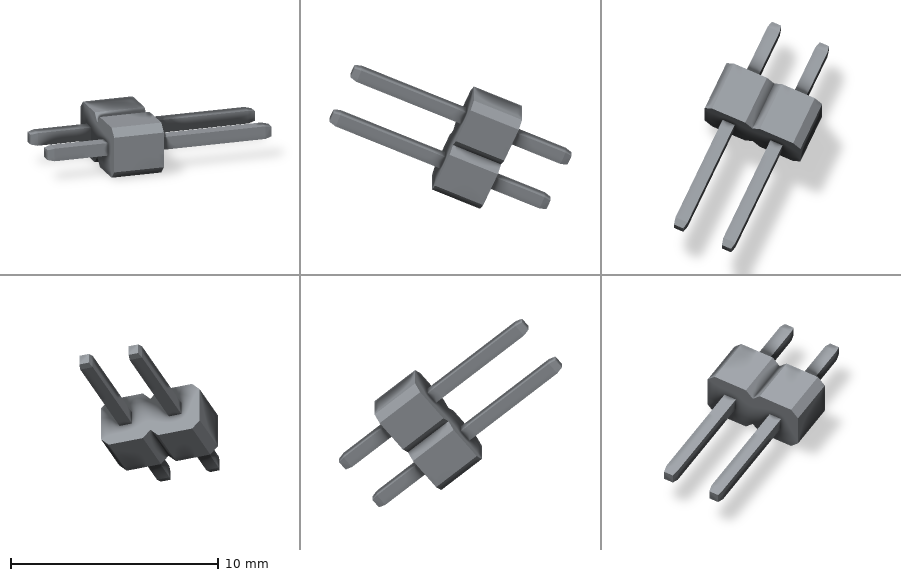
import cadquery as cq

pin_count = 2
pitch = 2.54
overall_length = 11.43
block_length = 2.54
corner_chamfer = 0.39
pin_width = 0.64
tip_width = 0.49
tip_length = 0.34
front_length = 3.05

back_length = overall_length - block_length - front_length
block_front_y = -block_length / 2
block_back_y = block_length / 2
first_pin_x = -pitch * (pin_count - 1) / 2


def make_block(center_x):
    """Insulator block of one pin: a cube with its edges along Y chamfered."""
    return (
        cq.Workplane("XY")
        .box(pitch, block_length, pitch)
        .edges("|Y")
        .chamfer(corner_chamfer)
        .translate((center_x, 0, 0))
        .solids()
    )


def make_pin(center_x, face_y, direction, length):
    """Square pin standing on a block face; direction is -1 for the front, +1 for the back."""
    face = cq.Plane(origin=(center_x, face_y, 0), xDir=(1, 0, 0), normal=(0, direction, 0))
    shank_length = length - tip_length
    shank = cq.Workplane(face).rect(pin_width, pin_width).extrude(shank_length)
    tip = (
        cq.Workplane(face)
        .workplane(offset=shank_length)
        .rect(pin_width, pin_width)
        .workplane(offset=tip_length)
        .rect(tip_width, tip_width)
        .loft(ruled=True)
    )
    return shank.union(tip).solids()


blocks = []
front_pins = []
back_pins = []
for index in range(pin_count):
    pin_x = first_pin_x + index * pitch
    blocks.append(make_block(pin_x).val())
    front_pins.append(make_pin(pin_x, block_front_y, -1, front_length).val())
    back_pins.append(make_pin(pin_x, block_back_y, 1, back_length).val())

result = cq.Compound.makeCompound([*blocks, *front_pins, *back_pins])